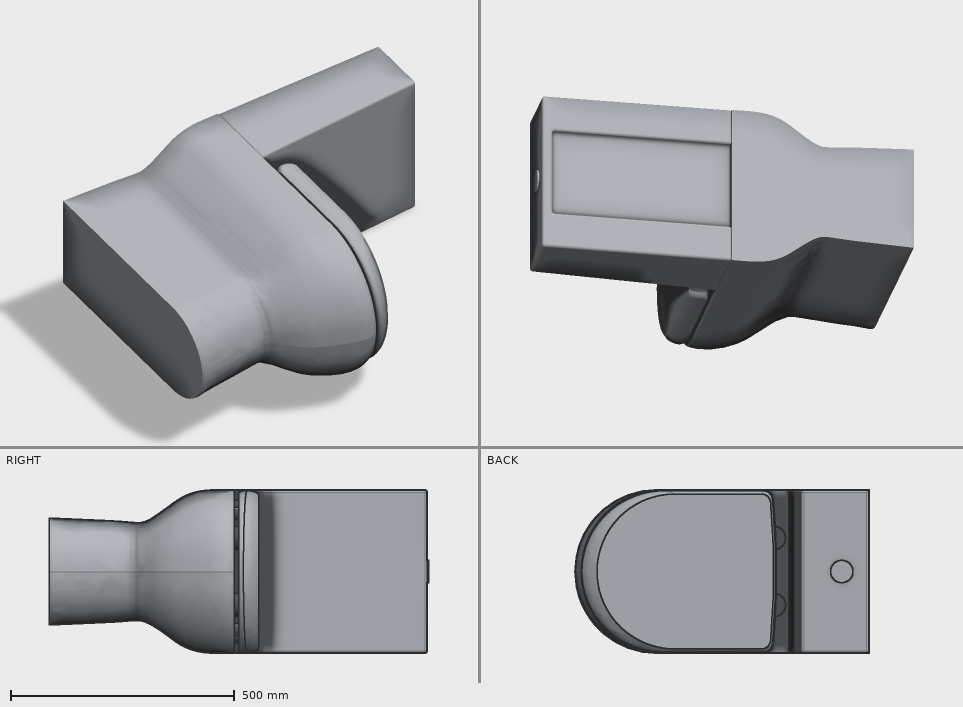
import cadquery as cq
import math


BOWL_HALF_WIDTH = 182.6
BOWL_REACH = 657.28
RIM_HEIGHT = 414.0
FOOT_HALF_WIDTH = 119.5
FOOT_REACH = 566.0
BOWL_SECTIONS = [
    (FOOT_HALF_WIDTH, FOOT_REACH),
    (118.2, 563.0),
    (116.9, 560.0),
    (115.6, 556.9),
    (114.3, 553.5),
    (112.8, 550.0),
    (110.5, 545.8),
    (109.4, 561.0),
    (122.5, 594.0),
    (144.0, 616.0),
    (164.5, 630.5),
    (176.8, 642.5),
    (181.8, 653.0),
    (BOWL_HALF_WIDTH, BOWL_REACH),
    (BOWL_HALF_WIDTH, 643.0),
]
BOWL_SECTION_STEP = RIM_HEIGHT / (len(BOWL_SECTIONS) - 1)

OVERALL_HEIGHT = 849.0
BUTTON_THICKNESS = 4.0
TANK_TOP = OVERALL_HEIGHT - BUTTON_THICKNESS
TANK_DEPTH_AT_TOP = 151.6
TANK_DEPTH_AT_BOTTOM = 179.6
TANK_HALF_WIDTH = BOWL_HALF_WIDTH
TANK_EDGE_RADIUS = 6.0

RECESS_CORNER_RADIUS = 6.5
RECESS_DEPTH = 13.0
RECESS_HALF_WIDTH = 100.0
RECESS_TOP = 822.5

BUTTON_RADIUS = 25.0
BUTTON_X = 61.0

SEAT_BOTTOM = 423.5
LID_TOP = 468.5
SEAT_BACK_BULGE = 9.0
SEAT_CORNER_RADIUS = 20.0
SEAT_SECTIONS = [
    (SEAT_BOTTOM, 225.0, 460.0, 177.0),
    (434.0, 208.5, 462.0, 180.0),
    (453.0, 208.5, 450.0, 180.0),
    (LID_TOP, 213.0, 435.0, 173.0),
]
JOINT_START_X = 200.0
JOINT_START_Y = 453.5
JOINT_END_X = 660.0
JOINT_END_Y = 433.5

PAD_RADIUS = 14.0
PAD_PLACES = [(354.0, 145.0), (514.0, 130.0)]

HINGE_RADIUS = 26.0
HINGE_HEIGHT = 11.5
HINGE_X = 212.5
HINGE_Z = 75.0


def level_plane(height):
    """Horizontal plane whose local axes are X and -Z and whose normal is up."""
    return cq.Workplane(cq.Plane(origin=(0, height, 0), xDir=(1, 0, 0), normal=(0, 1, 0)))


def disc(radius, x, z, bottom, top):
    return level_plane(bottom).center(x, -z).circle(radius).extrude(top - bottom)


def bowl_section(height, half_width, reach):
    """Rectangle against the wall, ended by a half circle at the front."""
    centre = reach - half_width
    diagonal = half_width * math.sqrt(0.5)
    return (
        level_plane(height)
        .moveTo(0, -half_width)
        .lineTo(centre, -half_width)
        .threePointArc((centre + diagonal, -diagonal), (reach, 0))
        .threePointArc((centre + diagonal, diagonal), (centre, half_width))
        .lineTo(0, half_width)
        .close()
        .val()
    )


def make_bowl():
    wires = []
    for index, (half_width, reach) in enumerate(BOWL_SECTIONS):
        wires.append(bowl_section(index * BOWL_SECTION_STEP, half_width, reach))
    return cq.Workplane(cq.Solid.makeLoft(wires))


def make_tank():
    body = (
        cq.Workplane("XY")
        .moveTo(0, RIM_HEIGHT)
        .lineTo(TANK_DEPTH_AT_BOTTOM, RIM_HEIGHT)
        .lineTo(TANK_DEPTH_AT_TOP, TANK_TOP)
        .lineTo(0, TANK_TOP)
        .close()
        .extrude(TANK_HALF_WIDTH, both=True)
    )
    return body.cut(make_tank_recess()).edges().fillet(TANK_EDGE_RADIUS)


def make_tank_recess():
    """Cutter for the recess, with its two upper corners rounded."""
    return (
        cq.Workplane("XY")
        .moveTo(0, RIM_HEIGHT)
        .lineTo(RECESS_DEPTH, RIM_HEIGHT)
        .lineTo(RECESS_DEPTH, RECESS_TOP)
        .lineTo(0, RECESS_TOP)
        .close()
        .extrude(RECESS_HALF_WIDTH, both=True)
        .edges(">Y and |X")
        .fillet(RECESS_CORNER_RADIUS)
    )


def seat_section(height, back, centre, half_width):
    """Bulged back, rounded corners, straight sides and a half-circle front."""
    side_back = back + SEAT_BACK_BULGE
    outline = (
        level_plane(height)
        .moveTo(side_back, -half_width)
        .lineTo(centre, -half_width)
        .threePointArc((centre + half_width, 0), (centre, half_width))
        .lineTo(side_back, half_width)
        .threePointArc((back, 0), (side_back, -half_width))
        .wire()
        .val()
    )
    corners = [corner for corner in outline.Vertices() if corner.X < centre]
    return outline.fillet2D(SEAT_CORNER_RADIUS, corners)


def make_closed_seat():
    wires = [seat_section(*section) for section in SEAT_SECTIONS]
    return cq.Workplane(cq.Solid.makeLoft(wires))


def make_above_joint():
    """Block covering everything above the sloping joint of seat and lid."""
    return (
        cq.Workplane("XY")
        .moveTo(JOINT_START_X, JOINT_START_Y)
        .lineTo(JOINT_END_X, JOINT_END_Y)
        .lineTo(JOINT_END_X, OVERALL_HEIGHT)
        .lineTo(JOINT_START_X, OVERALL_HEIGHT)
        .close()
        .extrude(BOWL_HALF_WIDTH, both=True)
    )


def make_hinge(side):
    return disc(HINGE_RADIUS, HINGE_X, side * HINGE_Z, RIM_HEIGHT, RIM_HEIGHT + HINGE_HEIGHT)


def make_seat(hinges):
    seat = make_closed_seat().cut(make_above_joint())
    for x, z in PAD_PLACES:
        for side in (-1, 1):
            seat = seat.union(disc(PAD_RADIUS, x, side * z, RIM_HEIGHT, SEAT_BOTTOM))
    for hinge in hinges:
        seat = seat.cut(hinge)
    return seat


def make_lid():
    return make_closed_seat().intersect(make_above_joint())


def make_button():
    return disc(BUTTON_RADIUS, BUTTON_X, 0, TANK_TOP, OVERALL_HEIGHT)


bowl = make_bowl()
tank = make_tank()
button = make_button()
hinges = [make_hinge(side) for side in (-1, 1)]
seat = make_seat(hinges)
lid = make_lid()

result = cq.Compound.makeCompound(
    [bowl.val(), tank.val(), button.val(), seat.val(), lid.val()] + [hinge.val() for hinge in hinges]
)